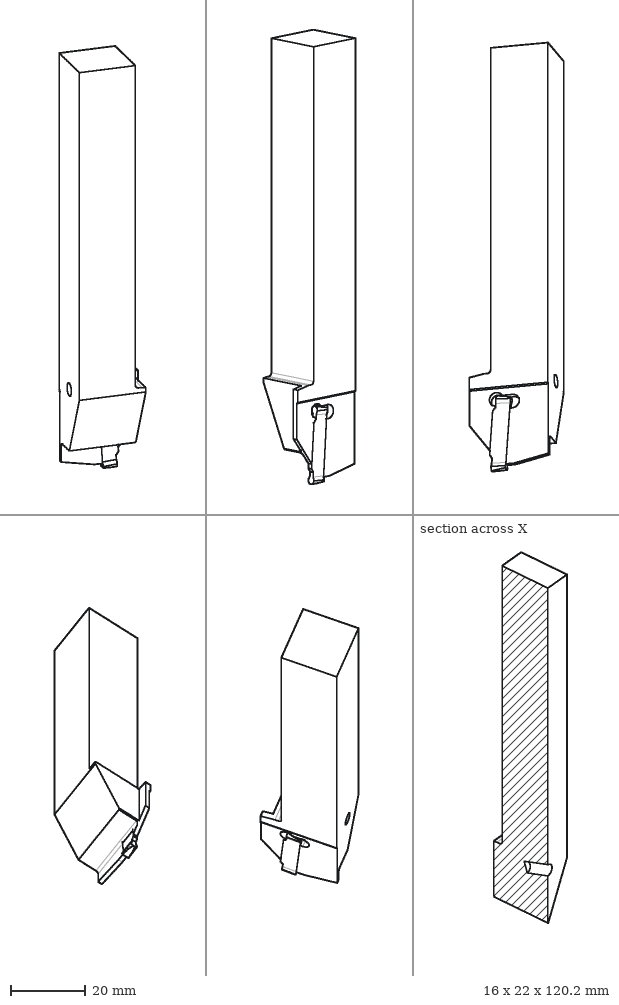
import cadquery as cq
import math


shank_size = 16.0
tool_length = 120.2
head_height = 19.0
shoulder_z = 27.6
shoulder_flat_end = 17.9
shoulder_slope = 10.0
shoulder_fillet = 0.9
taper_start_z = 26.2
taper_end_x = 8.1
head_bottom_z = 8.9

blade_height = 22.0
blade_thickness = 1.3
blade_relief = 0.35
relief_top_z = 23.5
relief_bottom_z = 23.15
blade_root_fillet = 0.8
blade_corner_z = 13.3
blade_nose = (16.5, 5.9)
blade_tip_y = 12.0
blade_tip_z = 1.5
blade_flat_start = 9.5
blade_heel_z = 3.4
blade_far_x = blade_relief + blade_thickness

insert_tilt = 4.0
insert_base_y = 11.95
insert_length = 21.3
insert_height = 4.75
rake_height = 4.0
rake_length = 3.9
ramp_half_length = 0.5
end_clearance = 0.6
nose_radius = 1.1
nose_shoulder = 2.2
insert_drop = rake_height * math.sin(math.radians(insert_tilt))

pocket_depth = 2.4
upper_bore = (14.5, 20.1)
lower_bore = (10.0, 19.2)
bore_radius = 1.9

hole_diameter = 3.4
hole_z = 26.5
hole_tilt = 18.0
hole_length = 8.1


def yz_plane(x):
    """Sketch plane at the given X whose local axes are the part's Y and Z."""
    return cq.Workplane("YZ", origin=(x, 0, 0))


def make_side_profile():
    """Y-Z outline of the holder, as wide as the shank."""
    slope_drop = (blade_height - shoulder_flat_end) * math.tan(math.radians(shoulder_slope))
    return (
        yz_plane(0)
        .moveTo(0, tool_length)
        .lineTo(0, blade_heel_z)
        .lineTo(blade_flat_start, blade_tip_z)
        .lineTo(blade_tip_y, blade_tip_z)
        .lineTo(*blade_nose)
        .lineTo(blade_height, blade_corner_z)
        .lineTo(blade_height, shoulder_z - slope_drop)
        .lineTo(shoulder_flat_end, shoulder_z)
        .lineTo(shank_size + shoulder_fillet, shoulder_z)
        .radiusArc((shank_size, shoulder_z + shoulder_fillet), shoulder_fillet)
        .lineTo(shank_size, tool_length)
        .close()
        .extrude(shank_size)
    )


def make_front_profile():
    """X-Z outline of shank, tapered head and blade, swept over the blade height."""
    return (
        cq.Workplane("XZ")
        .moveTo(0, tool_length)
        .lineTo(0, relief_top_z)
        .lineTo(blade_relief, relief_bottom_z)
        .lineTo(blade_relief, 0)
        .lineTo(blade_far_x, 0)
        .lineTo(blade_far_x, head_bottom_z - blade_root_fillet)
        .radiusArc((blade_far_x + blade_root_fillet, head_bottom_z), blade_root_fillet)
        .lineTo(taper_end_x, head_bottom_z)
        .lineTo(shank_size, taper_start_z)
        .lineTo(shank_size, tool_length)
        .close()
        .extrude(-blade_height)
    )


def make_space_beside_blade():
    """Material removed beside the blade where it stands taller than the head."""
    return cq.Workplane("XY").box(
        shank_size - blade_far_x, blade_height - head_height, tool_length, centered=False
    ).translate((blade_far_x, head_height, 0))


def make_pocket():
    """Two round clearances joined by a straight slot around the upper insert end."""
    bores = yz_plane(0).pushPoints([upper_bore, lower_bore]).circle(bore_radius).extrude(pocket_depth)
    slot_top = lower_bore[1] + bore_radius
    slot = (
        yz_plane(0)
        .moveTo(lower_bore[0], lower_bore[1] - bore_radius)
        .lineTo(upper_bore[0], lower_bore[1] - bore_radius)
        .lineTo(upper_bore[0], slot_top)
        .lineTo(lower_bore[0], slot_top)
        .close()
        .extrude(pocket_depth)
    )
    return bores.union(slot)


def make_slanted_hole():
    """Flat-bottomed bore that enters the front face and runs downward."""
    entry_allowance = hole_diameter
    return (
        cq.Workplane("XZ")
        .circle(hole_diameter / 2)
        .extrude(-(hole_length + entry_allowance))
        .translate((0, -entry_allowance, 0))
        .rotate((0, 0, 0), (1, 0, 0), -hole_tilt)
        .translate((shank_size / 2, 0, hole_z))
    )


def make_insert_blank():
    """Y-Z outline of the upright insert, as wide as its noses."""
    rake_end = insert_length - rake_length
    return (
        yz_plane(0)
        .moveTo(0, end_clearance)
        .lineTo(rake_height, 0)
        .lineTo(rake_height, rake_length - ramp_half_length)
        .lineTo(insert_height, rake_length + ramp_half_length)
        .lineTo(insert_height, rake_end - ramp_half_length)
        .lineTo(rake_height, rake_end + ramp_half_length)
        .lineTo(rake_height, insert_length)
        .lineTo(0, insert_length - end_clearance)
        .close()
        .extrude(2 * nose_radius)
    )


def make_insert_cross_profile():
    """X-Z outline of the upright insert: a thin body with a round nose at both ends."""
    body_near = blade_relief
    body_far = blade_far_x
    nose_width = 2 * nose_radius
    top_nose_z = insert_length - nose_radius
    return (
        cq.Workplane("XZ")
        .moveTo(0, nose_radius)
        .threePointArc((nose_radius, 0), (nose_width, nose_radius))
        .lineTo(body_far, nose_shoulder)
        .lineTo(body_far, insert_length - nose_shoulder)
        .lineTo(nose_width, top_nose_z)
        .threePointArc((nose_radius, insert_length), (0, top_nose_z))
        .lineTo(body_near, insert_length - nose_shoulder)
        .lineTo(body_near, nose_shoulder)
        .close()
        .extrude(-insert_height)
    )


def make_insert():
    upright = make_insert_blank().intersect(make_insert_cross_profile())
    tilted = upright.rotate((0, 0, 0), (1, 0, 0), insert_tilt)
    return tilted.translate((0, insert_base_y, -insert_drop))


def make_holder(insert):
    holder = make_side_profile().intersect(make_front_profile())
    holder = holder.cut(make_space_beside_blade())
    holder = holder.cut(make_slanted_hole())
    holder = holder.cut(make_pocket())
    return holder.cut(insert)


insert = make_insert()
holder = make_holder(insert)

result = cq.Compound.makeCompound([*holder.solids().vals(), *insert.solids().vals()])